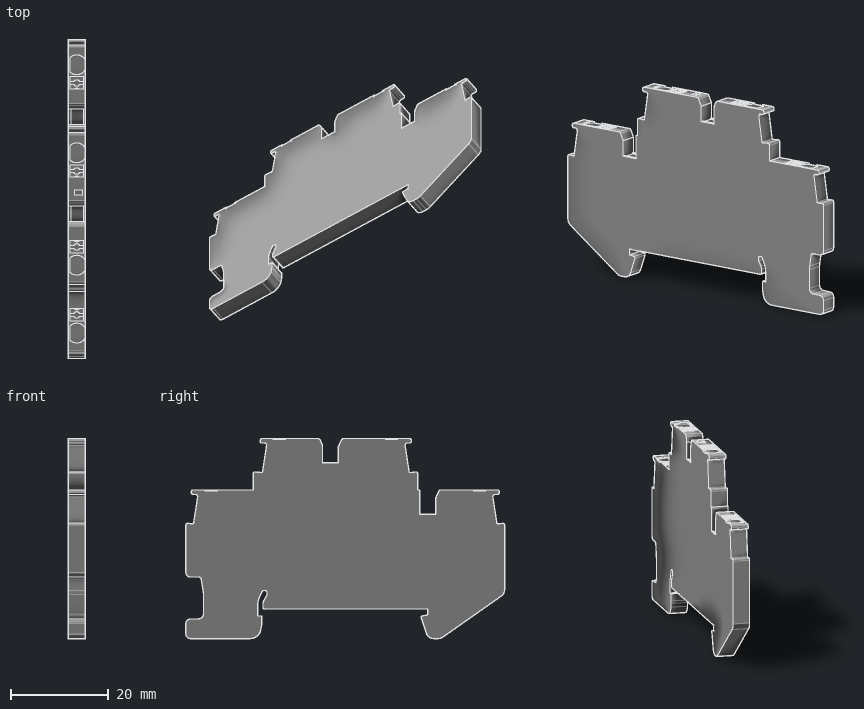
import cadquery as cq
import math


thickness = 3.5
length = 65.4
height = 41.1
half_length = length / 2

lower_top = 30.55
lip_thickness = 1.0
lip_radius = 0.45
lip_overhang = 1.4
neck_radius = 0.4
foot_inset = 0.45
foot_radius = 0.2
foot_drop = 6.8
shoulder_slope = 0.2
shoulder_radius = 0.4
lower_lip_inset = 1.1
upper_lip_back = 13.6
upper_lip_front = -17.45
upper_wall_back = 14.9
upper_wall_front = -18.9
lower_shoulder = lower_top - foot_drop
upper_shoulder = height - foot_drop
lower_lip_tip = half_length - lower_lip_inset

slot_width = 3.2
slot_depth = 5.0
lower_slot_back = 18.5
lower_slot_front = lower_slot_back - slot_width
lower_slot_floor = lower_top - slot_depth
upper_slot_back = -1.45
upper_slot_front = upper_slot_back - slot_width
upper_slot_floor = height - slot_depth
lead_depth = 1.7
lead_run = 0.8
lead_radius = 0.5
front_lead_depth = 1.45
front_lead_run = 0.6
front_lead_radius = 0.65
ledge_radius = 0.25
slot_recess_left = -1.2
slot_recess_right = 1.4
slot_recess_depth = 0.2

rail_top = 6.1
rail_back = 16.9
hook_top_inner = 4.9
hook_top_nose = 4.65
hook_nose = 15.45
hook_nose_radius = 0.25
hook_bottom_front = 17.0
hook_bottom_back = 19.55
hook_radius = 1.65
slope_top = 9.2
slope_radius = 1.65
foot_top = 4.7
foot_nose = -17.1
foot_nose_bend = 2.95
foot_nose_radius = 2.6
foot_bottom_start = -17.65
foot_bottom_radius = 2.3
slit_outer = -17.9
slit_bend = 7.7
slit_bend_radius = 3.9
slit_top = 9.9
slit_top_outer = -16.95
slit_top_inner = -16.1
slit_top_radius = 0.4
lobe_edge = -16.9
lobe_start = 8.95
lobe_end = 7.5
lobe_start_radius = 0.5
lobe_end_radius = 1.3
lobe_corner_radius = 0.3
tail_top = 12.6
tail_top_inner = -29.6
tail_top_radius = 0.45
tail_neck = -29.1
tail_bend = 9.5
tail_bend_radius = 4.6
tail_shelf_inner = 4.1
tail_shelf_outer = 4.05
tail_radius = 1.0

mark_half_width = 1.4
funnel_radius = 2.0
funnel_depth = 0.25
funnels = [
    (27.55, lower_top, 1),
    (9.5, height, 1),
    (-13.55, height, -1),
    (-27.5, lower_top, -1),
]
funnel_to_button = 3.7
button_length = 2.55
button_depth = 0.1
groove_width = 0.6
groove_depth = 0.25
hole_radius = 0.65
hole_pitch = 1.7

test_slot_x = 0.3
test_slot_y = 1.4
test_slot_width = 1.65
test_slot_length = 1.05
test_slot_depth = 0.3


def lip_corners(tip, top, outward):
    """Corners (y, z, radius) of a lip, its neck and the foot of the neck, from the top downward."""
    return [
        (tip, top, lip_radius),
        (tip, top - lip_thickness, lip_radius),
        (tip - outward * lip_overhang, top - lip_thickness, neck_radius),
        (tip - outward * foot_inset, top - foot_drop - shoulder_slope, foot_radius),
    ]


def rounded_outline(corners):
    """Closed YZ outline through the corners, each rounded by a tangent arc of its own radius."""
    outline = cq.Workplane("YZ")
    for i, (y, z, radius) in enumerate(corners):
        corner = cq.Vector(y, z)
        before = cq.Vector(*corners[i - 1][:2])
        after = cq.Vector(*corners[(i + 1) % len(corners)][:2])
        to_before = (before - corner).normalized()
        to_after = (after - corner).normalized()
        half_angle = to_before.getAngle(to_after) / 2
        setback = radius / math.tan(half_angle)
        start = corner + to_before * setback
        if i == 0:
            outline = outline.moveTo(start.x, start.y)
        else:
            outline = outline.lineTo(start.x, start.y)
        if radius > 0:
            bisector = (to_before + to_after).normalized()
            middle = corner + bisector * (radius / math.sin(half_angle) - radius)
            end = corner + to_after * setback
            outline = outline.threePointArc((middle.x, middle.y), (end.x, end.y))
    return outline.close()


def pocket(x_range, y_range, top, depth):
    """Box reaching down from the given top level."""
    size_x = x_range[1] - x_range[0]
    size_y = y_range[1] - y_range[0]
    box = cq.Workplane("XY").box(size_x, size_y, depth, centered=False)
    return box.translate((x_range[0], y_range[0], top - depth))


def centered_pocket(x, y, size_x, size_y, top, depth):
    """Box centered on (x, y), reaching down from the given top level."""
    x_range = (x - size_x / 2, x + size_x / 2)
    y_range = (y - size_y / 2, y + size_y / 2)
    return pocket(x_range, y_range, top, depth)


def disc(y, top, radius, depth):
    """Disc centered across the thickness, reaching down from the given top level."""
    return cq.Workplane("XY", origin=(0, y, top - depth)).circle(radius).extrude(depth)


def funnel(y, top):
    """Round wire funnel with a flat -X side, open through the +X face."""
    clip = pocket((-mark_half_width, thickness), (y - funnel_radius, y + funnel_radius), top, funnel_depth)
    return disc(y, top, funnel_radius, funnel_depth).intersect(clip)


def button(y, top, side):
    """Square button recess with a deeper cross groove, a center hole and a hole cut off by its edge."""
    width = 2 * mark_half_width
    recess = centered_pocket(0, y, width, button_length, top, button_depth)
    groove = centered_pocket(0, y, width, groove_width, top, groove_depth)
    center_hole = disc(y, top, hole_radius, groove_depth)
    limit = centered_pocket(0, y, width, button_length, top, groove_depth)
    edge_hole = disc(y - side * hole_pitch, top, hole_radius, groove_depth).intersect(limit)
    return recess.union(groove).union(center_hole).union(edge_hole)


back_end = [
    (half_length, slope_top, slope_radius),
    (half_length, lower_shoulder, shoulder_radius),
    *reversed(lip_corners(lower_lip_tip, lower_top, 1)),
]
lower_slot = [
    (lower_slot_back + lead_run, lower_top, lead_radius),
    (lower_slot_back, lower_top - lead_depth, 0),
    (lower_slot_back, lower_slot_floor, 0),
    (lower_slot_front, lower_slot_floor, 0),
    (lower_slot_front, lower_top, ledge_radius),
    (upper_wall_back, lower_top, 0),
]
upper_tier = [
    (upper_wall_back, upper_shoulder, shoulder_radius),
    *reversed(lip_corners(upper_lip_back, height, 1)),
    (upper_slot_back + lead_run, height, lead_radius),
    (upper_slot_back, height - lead_depth, 0),
    (upper_slot_back, upper_slot_floor, 0),
    (upper_slot_front, upper_slot_floor, 0),
    (upper_slot_front, height - front_lead_depth, 0),
    (upper_slot_front - front_lead_run, height, front_lead_radius),
    *lip_corners(upper_lip_front, height, -1),
    (upper_wall_front, upper_shoulder, shoulder_radius),
    (upper_wall_front, lower_top, 0),
]
front_end = [
    *lip_corners(-lower_lip_tip, lower_top, -1),
    (-half_length, lower_shoulder, shoulder_radius),
    (-half_length, tail_top, tail_radius),
    (tail_top_inner, tail_top, tail_top_radius),
    (tail_neck, tail_bend, tail_bend_radius),
    (tail_neck, tail_shelf_inner, tail_radius),
    (-half_length, tail_shelf_outer, tail_radius),
    (-half_length, 0, tail_radius),
]
underside = [
    (foot_bottom_start, 0, foot_bottom_radius),
    (foot_nose, foot_nose_bend, foot_nose_radius),
    (foot_nose, foot_top, 0),
    (slit_outer, foot_top, 0),
    (slit_outer, slit_bend, slit_bend_radius),
    (slit_top_outer, slit_top, slit_top_radius),
    (slit_top_inner, slit_top, slit_top_radius),
    (slit_top_inner, lobe_start, lobe_start_radius),
    (lobe_edge, lobe_end, lobe_end_radius),
    (lobe_edge, rail_top, lobe_corner_radius),
    (rail_back, rail_top, 0),
    (rail_back, hook_top_inner, 0),
    (hook_nose, hook_top_nose, hook_nose_radius),
    (hook_bottom_front, 0, hook_radius),
    (hook_bottom_back, 0, hook_radius),
]
outline = rounded_outline(back_end + lower_slot + upper_tier + front_end + underside)
body = outline.extrude(thickness / 2, both=True)

for y, top, side in funnels:
    body = body.cut(funnel(y, top))
    body = body.cut(button(y - side * funnel_to_button, top, side))

body = body.cut(
    centered_pocket(test_slot_x, test_slot_y, test_slot_width, test_slot_length, height, test_slot_depth)
)

recess_x = (slot_recess_left, slot_recess_right)
for back, floor in [(lower_slot_back, lower_slot_floor), (upper_slot_back, upper_slot_floor)]:
    body = body.cut(pocket(recess_x, (back - slot_width, back), floor, slot_recess_depth))

result = cq.Workplane(body.solids().val())